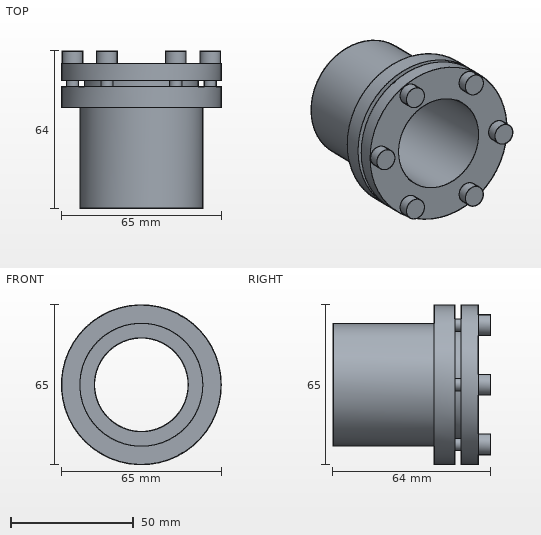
import cadquery as cq

bore_diameter = 38.0
pipe_diameter = 50.0
pipe_length = 41.0
flange_diameter = 65.0
front_flange_thickness = 8.5
back_flange_thickness = 7.0
spacer_diameter = 46.4
spacer_thickness = 2.5

bolt_count = 6
bolt_circle_radius = 28.0
bolt_shank_diameter = 5.0
bolt_head_diameter = 8.5
bolt_head_height = 5.0

pipe_end_y = 0.0
front_flange_y = pipe_end_y + pipe_length
spacer_y = front_flange_y + front_flange_thickness
back_flange_y = spacer_y + spacer_thickness
back_face_y = back_flange_y + back_flange_thickness


def plane_at(y):
    """Plane across the pipe axis at station y, with its normal toward +Y."""
    return cq.Plane(origin=(0, y, 0), xDir=(1, 0, 0), normal=(0, 1, 0))


def disc(y, diameter, thickness):
    """Solid disc on the pipe axis, starting at station y."""
    return cq.Workplane(plane_at(y)).circle(diameter / 2).extrude(thickness)


def bolt_ring(y, diameter, length):
    """Cylinders evenly spaced on the bolt circle, starting at station y."""
    centers = cq.Workplane(plane_at(y)).polarArray(bolt_circle_radius, 0, 360, bolt_count)
    return centers.circle(diameter / 2).extrude(length)


body = disc(pipe_end_y, pipe_diameter, pipe_length)
body = body.union(disc(front_flange_y, flange_diameter, front_flange_thickness))
body = body.union(disc(spacer_y, spacer_diameter, spacer_thickness))
body = body.union(disc(back_flange_y, flange_diameter, back_flange_thickness))

body = body.cut(disc(pipe_end_y, bore_diameter, back_face_y - pipe_end_y))

body = body.union(bolt_ring(spacer_y, bolt_shank_diameter, spacer_thickness))
result = body.union(bolt_ring(back_face_y, bolt_head_diameter, bolt_head_height))